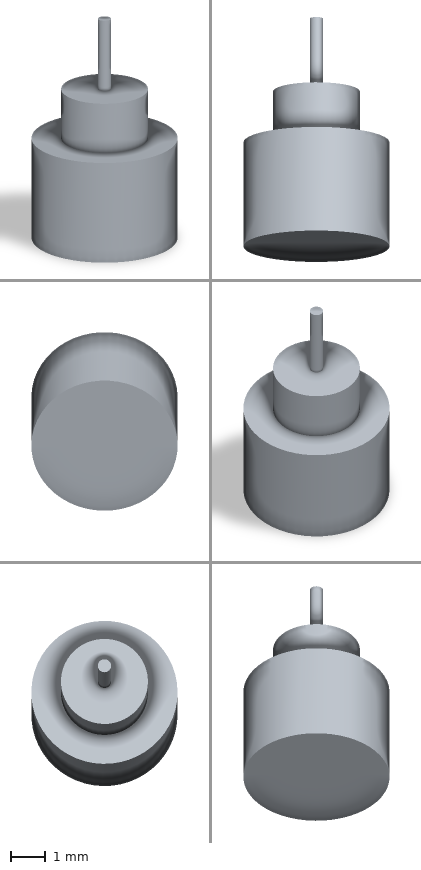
import cadquery as cq

total_height = 6.7
body_diameter = 4.2
body_height = 3.05
collar_diameter = 2.5
collar_height = 1.5
pin_diameter = 0.38

collar_top = body_height + collar_height
pin_height = total_height - collar_top


def cylinder(diameter, height, base_z):
    """Upright cylinder on the Z axis, standing on the level base_z."""
    return cq.Workplane("XY").workplane(offset=base_z).circle(diameter / 2).extrude(height)


body = cylinder(body_diameter, body_height, 0)
collar = cylinder(collar_diameter, collar_height, body_height)
pin = cylinder(pin_diameter, pin_height, collar_top)

result = body.union(collar).union(pin)